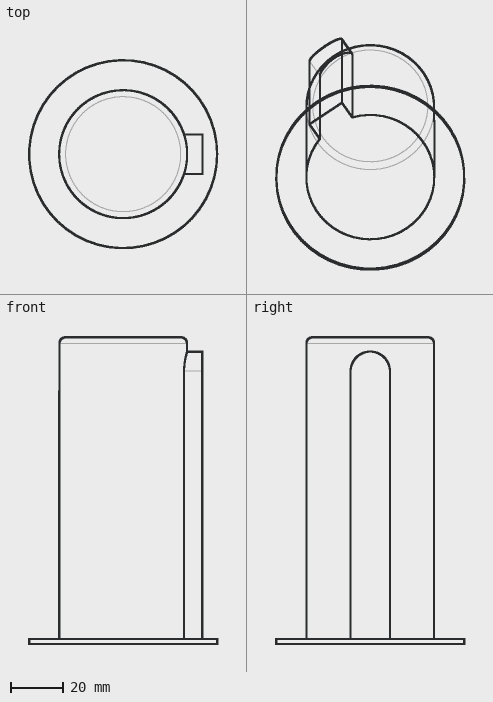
import cadquery as cq

total_height = 117.5
flange_diameter = 72.0
flange_thickness = 2.0
body_diameter = 49.0
top_edge_radius = 2.5
rib_width = 15.0
rib_reach = 30.3
rib_top = 112.0

flange = cq.Workplane("XY").circle(flange_diameter / 2).extrude(flange_thickness)

body = (
    cq.Workplane("XY")
    .circle(body_diameter / 2)
    .extrude(total_height)
    .faces(">Z")
    .edges()
    .fillet(top_edge_radius)
)

rib_half_width = rib_width / 2
rib_shoulder = rib_top - rib_half_width
rib = (
    cq.Workplane("YZ")
    .moveTo(-rib_half_width, 0)
    .lineTo(rib_half_width, 0)
    .lineTo(rib_half_width, rib_shoulder)
    .threePointArc((0, rib_top), (-rib_half_width, rib_shoulder))
    .close()
    .extrude(rib_reach)
)

result = flange.union(body).union(rib)